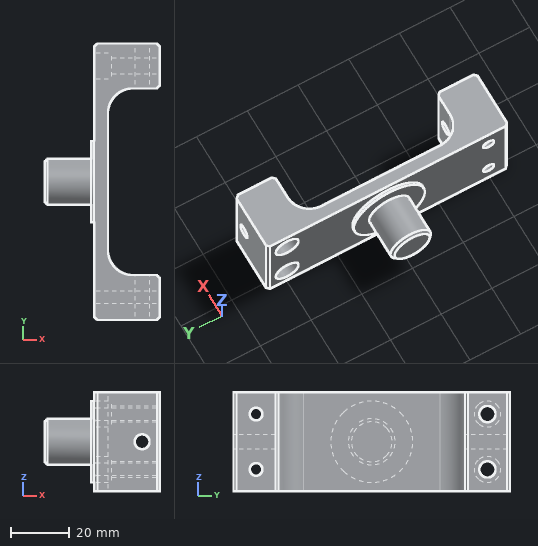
import cadquery as cq

length = 95.0
height = 34.0
depth = 22.5
web_thickness = 4.75
leg_width = 15.5
inner_radius = 8.55
edge_chamfer = 1.0

flange_diameter = 28.0
flange_thickness = 1.0
stud_diameter = 16.0
stud_length = 16.0
stud_chamfer = 1.0

hole_y = 39.7
hole_z = 9.5
screw_diameter = 5.5
counterbore_diameter = 9.0
counterbore_depth = 6.0
small_hole_diameter = 4.3

cross_hole_diameter = 5.0
cross_hole_x = 16.4


def make_bracket():
    """U-shaped channel with rounded inner corners and chamfered upright edges."""
    block = cq.Workplane("XY").box(depth, length, height, centered=(False, True, True))
    opening_depth = depth - web_thickness
    opening_width = length - 2 * leg_width
    opening = (
        cq.Workplane("XY")
        .box(opening_depth, opening_width, height, centered=(False, True, True))
        .translate((web_thickness, 0, 0))
        .edges("|Z and <X")
        .fillet(inner_radius)
    )
    channel = block.edges("|Z").chamfer(edge_chamfer).cut(opening)
    half_opening = opening_width / 2
    inner_tip_edges = cq.selectors.BoxSelector(
        (depth - edge_chamfer / 2, -half_opening - edge_chamfer / 2, -height),
        (depth + edge_chamfer / 2, half_opening + edge_chamfer / 2, height),
    )
    return channel.edges("|Z").edges(inner_tip_edges).chamfer(edge_chamfer)


def make_stud():
    """Round flange on the back face carrying a stud with a chamfered end."""
    flange = cq.Workplane("YZ").circle(flange_diameter / 2).extrude(-flange_thickness)
    stud = (
        cq.Workplane("YZ")
        .circle(stud_diameter / 2)
        .extrude(-(flange_thickness + stud_length))
        .faces("<X")
        .chamfer(stud_chamfer)
    )
    return flange.union(stud)


def x_holes(y, diameter, hole_depth):
    """Pair of holes drilled from the back face along +X, above and below centre."""
    return (
        cq.Workplane("YZ")
        .pushPoints([(y, -hole_z), (y, hole_z)])
        .circle(diameter / 2)
        .extrude(hole_depth)
    )


cross_hole = (
    cq.Workplane("XZ")
    .center(cross_hole_x, 0)
    .circle(cross_hole_diameter / 2)
    .extrude(length / 2, both=True)
)

result = (
    make_bracket()
    .union(make_stud())
    .cut(x_holes(hole_y, screw_diameter, depth))
    .cut(x_holes(hole_y, counterbore_diameter, counterbore_depth))
    .cut(x_holes(-hole_y, small_hole_diameter, depth))
    .cut(cross_hole)
)